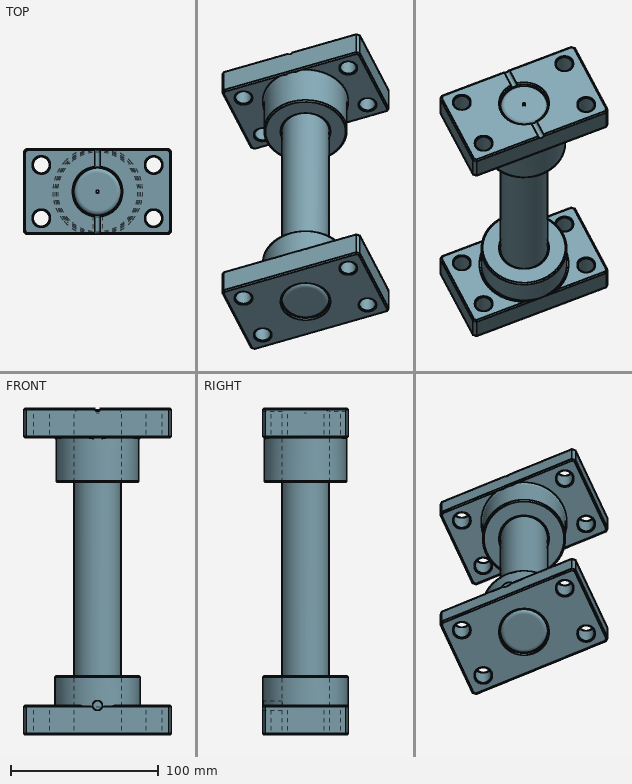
import cadquery as cq
total_height = 221.0
plate_length = 100.0
plate_width = 58.0
plate_thickness = 20.0
corner_chamfer = 1.88
edge_chamfer = 1.0

screw_spacing_x = 76.0
screw_spacing_y = 36.0
screw_diameter = 11.0
screw_chamfer = 0.7

shaft_diameter = 32.0
shaft_recess = 1.0
shaft_end_radius = 3.0
centre_mark_diameter = 2.0
centre_mark_depth = 2.0

lower_boss_diameter = plate_width
lower_boss_height = 20.1
relief_width = 1.3
relief_depth = 0.5
set_hole_diameter = 6.6

upper_boss_diameter = 56.1
upper_boss_height = 30.3
foot_fillet = 1.0
groove_diameter = 4.0


def flange_plate():
    """Chamfered plate with four screw holes, standing on Z = 0."""
    plate = (
        cq.Workplane("XY")
        .box(plate_length, plate_width, plate_thickness, centered=(True, True, False))
        .edges("|Z")
        .chamfer(corner_chamfer)
        .faces("<Z or >Z")
        .edges()
        .chamfer(edge_chamfer)
    )
    plate = (
        plate.faces(">Z")
        .workplane(origin=(0, 0, 0))
        .rect(screw_spacing_x, screw_spacing_y, forConstruction=True)
        .vertices()
        .hole(screw_diameter)
    )
    return plate.faces("<Z or >Z").edges("%CIRCLE").chamfer(screw_chamfer)


def boss(diameter, height):
    """Round boss on Z = 0 with a chamfered top; its foot is sunk past the plate's edge chamfer."""
    return (
        cq.Workplane("XY", origin=(0, 0, -edge_chamfer))
        .circle(diameter / 2)
        .extrude(height + edge_chamfer)
        .faces(">Z")
        .chamfer(edge_chamfer)
    )


def foot_fillet_ring(diameter):
    """Concave fillet around a boss foot, kept to the flat of the plate between its edge chamfers."""
    radius = diameter / 2
    ring = (
        cq.Workplane("XZ")
        .moveTo(radius - foot_fillet, 0)
        .lineTo(radius + foot_fillet, 0)
        .radiusArc((radius, foot_fillet), foot_fillet)
        .lineTo(radius - foot_fillet, foot_fillet)
        .close()
        .revolve(360, (0, 0), (0, 1))
    )
    flat = cq.Workplane("XY").box(plate_length, plate_width - 2 * edge_chamfer, 2 * foot_fillet)
    return ring.intersect(flat)


def mouth_cut(mouth_z, outward):
    """Cone that chamfers the bore at mouth_z; outward is +1 for an upper mouth, -1 for a lower one."""
    bore_radius = shaft_diameter / 2
    inner_z = mouth_z - outward * edge_chamfer
    return (
        cq.Workplane("XZ")
        .moveTo(0, mouth_z)
        .lineTo(bore_radius + edge_chamfer, mouth_z)
        .lineTo(bore_radius, inner_z)
        .lineTo(0, inner_z)
        .close()
        .revolve(360, (0, 0), (0, 1))
    )


def make_flange(boss_diameter, boss_height):
    """Plate on Z = 0 with its boss on top and the shaft bore through both."""
    height = plate_thickness + boss_height
    flange = flange_plate().union(
        boss(boss_diameter, boss_height).translate((0, 0, plate_thickness))
    )
    bore = cq.Workplane("XY").circle(shaft_diameter / 2).extrude(height)
    return flange.cut(bore).cut(mouth_cut(0, -1)).cut(mouth_cut(height, 1))


def make_lower_flange():
    """Lower flange with a relief ring and a set hole through to the shaft from the -Y side."""
    flange = make_flange(lower_boss_diameter, lower_boss_height)
    set_hole = (
        cq.Workplane("XZ")
        .center(0, plate_thickness)
        .circle(set_hole_diameter / 2)
        .extrude(plate_width)
    )
    relief = (
        cq.Workplane("XY", origin=(0, 0, plate_thickness - relief_depth))
        .circle(lower_boss_diameter / 2 + relief_width)
        .circle(lower_boss_diameter / 2)
        .extrude(relief_depth)
    )
    return flange.cut(relief).cut(set_hole)


def make_upper_flange():
    """Upper flange, boss down, with a half-round groove across its top face."""
    flange = make_flange(upper_boss_diameter, upper_boss_height)
    flange = flange.union(foot_fillet_ring(upper_boss_diameter).translate((0, 0, plate_thickness)))
    flange = flange.rotate((0, 0, 0), (1, 0, 0), 180).translate((0, 0, total_height))
    groove_radius = groove_diameter / 2
    groove = (
        cq.Workplane("XZ", origin=(0, plate_width / 2, total_height))
        .moveTo(-groove_radius, 0)
        .threePointArc((0, -groove_radius), (groove_radius, 0))
        .close()
        .extrude(plate_width)
    )
    return flange.cut(groove)


def make_shaft():
    """Shaft with rounded ends and a centre mark in its upper end."""
    return (
        cq.Workplane("XY")
        .circle(shaft_diameter / 2)
        .extrude(total_height - shaft_recess)
        .faces("<Z or >Z")
        .edges()
        .fillet(shaft_end_radius)
        .faces(">Z")
        .workplane()
        .hole(centre_mark_diameter, centre_mark_depth)
    )


lower_flange = make_lower_flange()
upper_flange = make_upper_flange()
shaft = make_shaft()

result = cq.Compound.makeCompound([lower_flange.val(), upper_flange.val(), shaft.val()])